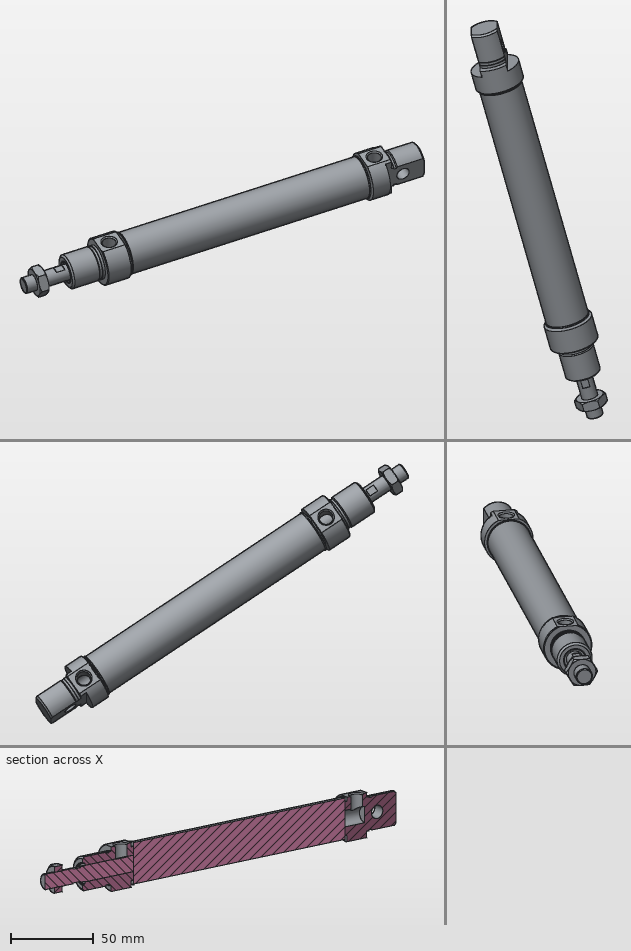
import cadquery as cq
import math


ROD_TIP = -132.5
NUT_FRONT = -125.3
NUT_LENGTH = 6.0
ROD_FLAT_FRONT = -111.3
ROD_FLAT_BACK = -105.7
NOSE_FRONT = -104.1
FRONT_HEAD_FRONT = -82.7
FRONT_HEAD_BACK = -67.3
BARREL_FRONT = -66.0
BARREL_BACK = 94.0
REAR_HEAD_FRONT = 95.1
REAR_HEAD_BACK = 110.5
LUG_END = 132.5

BARREL_DIAMETER = 26.5
BEAD_DIAMETER = 27.3
BEAD_LENGTH = 0.8

HEAD_DIAMETER = 30.0
HEAD_TOP_HEIGHT = 13.5
HEAD_CHAMFER = 0.5
NECK_DIAMETER = 21.7
GROOVE_DIAMETER = 20.5
GROOVE_WIDTH = 1.5
GROOVE_SHOULDER = 1.5
GROOVE_TAPER = (NECK_DIAMETER - GROOVE_DIAMETER) / 2
END_CHAMFER_LENGTH = 1.0
END_CHAMFER_HEIGHT = 1.3
PORT_DIAMETER = 8.5
PORT_MOUTH_DIAMETER = 10.0

RECESS_MOUTH_DIAMETER = 14.0
RECESS_MOUTH_DEPTH = 0.5
RECESS_DIAMETER = 13.0
RECESS_DEPTH = 1.5
CHAMBER_DIAMETER = 10.0
CHAMBER_END = 108.6

LUG_WIDTH = 16.2
LUG_FLAT_FRONT = 106.5
PIVOT_DIAMETER = 8.2
PIVOT_Y = 118.2

ROD_DIAMETER = 10.0
ROD_ACROSS_FLATS = 9.0
ROD_TIP_CHAMFER = 0.5
NUT_ACROSS_FLATS = 17.0
NUT_CORNER_CHAMFER = 0.8


def revolve_profile(points):
    """Revolve (radius, y) points, together with the axis, about Y."""
    outline = [(0, points[0][1])] + points + [(0, points[-1][1])]
    return cq.Workplane("XY").polyline(outline).close().revolve(360, (0, 0, 0), (0, 1, 0))


def cylinder(diameter, y_start, y_end):
    """Cylinder along Y between two stations."""
    radius = diameter / 2
    return revolve_profile([(radius, y_start), (radius, y_end)])


def block(size_x, y_start, y_end, size_z):
    """Block centred on the axis between two stations."""
    middle = (y_start + y_end) / 2
    return cq.Workplane("XY").box(size_x, y_end - y_start, size_z).translate((0, middle, 0))


def cut_flat_and_port(head, y_start, y_end):
    """Mill the flat on top of a head and drill a countersunk air port down to the axis."""
    above_flat = block(HEAD_DIAMETER, y_start, y_end, HEAD_DIAMETER)
    above_flat = above_flat.translate((0, 0, HEAD_TOP_HEIGHT + HEAD_DIAMETER / 2))
    mouth = PORT_MOUTH_DIAMETER / 2
    bore = PORT_DIAMETER / 2
    port = (
        cq.Workplane("XZ")
        .moveTo(0, 0)
        .lineTo(bore, 0)
        .lineTo(bore, HEAD_TOP_HEIGHT - (mouth - bore))
        .lineTo(mouth, HEAD_TOP_HEIGHT)
        .lineTo(0, HEAD_TOP_HEIGHT)
        .close()
        .revolve(360, (0, 0, 0), (0, 1, 0))
        .translate((0, (y_start + y_end) / 2, 0))
    )
    return head.cut(above_flat).cut(port)


def neck_profile(head_end, tip, outward):
    """Points of a neck with an undercut groove beside the head and a chamfered tip."""
    neck = NECK_DIAMETER / 2
    groove = GROOVE_DIAMETER / 2
    groove_start = head_end + outward * GROOVE_SHOULDER
    groove_end = groove_start + outward * GROOVE_WIDTH
    return [
        (neck, head_end),
        (neck, groove_start),
        (groove, groove_start),
        (groove, groove_end),
        (neck, groove_end + outward * GROOVE_TAPER),
        (neck, tip - outward * END_CHAMFER_LENGTH),
        (neck - END_CHAMFER_HEIGHT, tip),
    ]


def make_barrel():
    body = BARREL_DIAMETER / 2
    bead = BEAD_DIAMETER / 2
    return revolve_profile([
        (bead, BARREL_FRONT),
        (bead, BARREL_FRONT + BEAD_LENGTH),
        (body, BARREL_FRONT + BEAD_LENGTH),
        (body, BARREL_BACK - BEAD_LENGTH),
        (bead, BARREL_BACK - BEAD_LENGTH),
        (bead, BARREL_BACK),
    ])


def make_front_head():
    outer = HEAD_DIAMETER / 2
    neck = NECK_DIAMETER / 2
    head = revolve_profile([
        (neck, BARREL_FRONT),
        (neck, FRONT_HEAD_BACK),
        (outer, FRONT_HEAD_BACK),
        (outer, FRONT_HEAD_FRONT + HEAD_CHAMFER),
        (outer - HEAD_CHAMFER, FRONT_HEAD_FRONT),
    ] + neck_profile(FRONT_HEAD_FRONT, NOSE_FRONT, -1))
    head = cut_flat_and_port(head, FRONT_HEAD_FRONT, FRONT_HEAD_BACK)
    head = head.cut(cylinder(RECESS_MOUTH_DIAMETER, NOSE_FRONT, NOSE_FRONT + RECESS_MOUTH_DEPTH))
    head = head.cut(cylinder(RECESS_DIAMETER, NOSE_FRONT, NOSE_FRONT + RECESS_DEPTH))
    return head.cut(cylinder(ROD_DIAMETER, NOSE_FRONT, BARREL_FRONT))


def make_rear_head():
    outer = HEAD_DIAMETER / 2
    neck = NECK_DIAMETER / 2
    head = revolve_profile([
        (neck, BARREL_BACK),
        (neck, REAR_HEAD_FRONT),
        (outer, REAR_HEAD_FRONT),
        (outer, REAR_HEAD_BACK),
    ] + neck_profile(REAR_HEAD_BACK, LUG_END, 1))
    head = cut_flat_and_port(head, REAR_HEAD_FRONT, REAR_HEAD_BACK)
    head = head.cut(cylinder(CHAMBER_DIAMETER, BARREL_BACK, CHAMBER_END))

    envelope = block(HEAD_DIAMETER, LUG_FLAT_FRONT, LUG_END, HEAD_DIAMETER)
    lug = block(LUG_WIDTH, LUG_FLAT_FRONT, LUG_END, HEAD_DIAMETER)
    head = head.cut(envelope.cut(lug))

    pivot = (
        cq.Workplane("YZ", origin=(0, PIVOT_Y, 0))
        .circle(PIVOT_DIAMETER / 2)
        .extrude(LUG_WIDTH / 2, both=True)
    )
    return head.cut(pivot)


def make_rod():
    """Piston rod through the front head to the barrel, with spanner flats and a chamfered tip."""
    radius = ROD_DIAMETER / 2
    rod = revolve_profile([
        (radius - ROD_TIP_CHAMFER, ROD_TIP),
        (radius, ROD_TIP + ROD_TIP_CHAMFER),
        (radius, BARREL_FRONT),
    ])
    envelope = block(ROD_DIAMETER, ROD_FLAT_FRONT, ROD_FLAT_BACK, ROD_DIAMETER)
    core = block(ROD_DIAMETER, ROD_FLAT_FRONT, ROD_FLAT_BACK, ROD_ACROSS_FLATS)
    return rod.cut(envelope.cut(core))


def make_nut():
    """Hexagon nut with flats up and down and its corners chamfered on both faces."""
    nut_back = NUT_FRONT + NUT_LENGTH
    across_corners = NUT_ACROSS_FLATS / math.cos(math.pi / 6)
    corner = across_corners / 2
    hexagon = (
        cq.Workplane("XZ", origin=(0, nut_back, 0))
        .polygon(6, across_corners)
        .extrude(NUT_LENGTH)
    )
    corner_cone = revolve_profile([
        (NUT_ACROSS_FLATS / 2, NUT_FRONT),
        (corner, NUT_FRONT + NUT_CORNER_CHAMFER),
        (corner, nut_back - NUT_CORNER_CHAMFER),
        (NUT_ACROSS_FLATS / 2, nut_back),
    ])
    bore = cylinder(ROD_DIAMETER, NUT_FRONT, nut_back)
    return hexagon.intersect(corner_cone).cut(bore)


barrel = make_barrel()
front_head = make_front_head()
rear_head = make_rear_head()
rod = make_rod()
nut = make_nut()

result = cq.Compound.makeCompound([
    barrel.val(),
    front_head.val(),
    rear_head.val(),
    rod.val(),
    nut.val(),
])